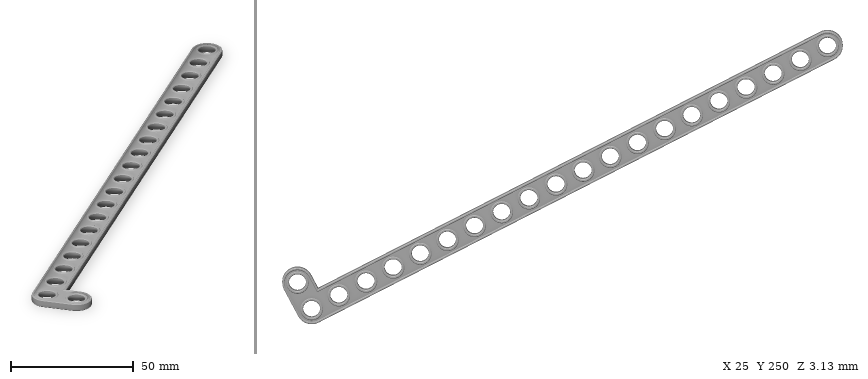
import cadquery as cq

hole_pitch = 12.5
long_arm_holes = 20
short_arm_holes = 2
hole_diameter = 7.0
collar_diameter = 9.2
rim_width = 1.0
edge_chamfer = 0.3
recess_depth = 0.3
recess_wall_slope = 45

strip_width = hole_pitch
thickness = hole_pitch / 4
recess_width = strip_width - 2 * rim_width
long_arm_span = hole_pitch * (long_arm_holes - 1)
short_arm_span = hole_pitch * (short_arm_holes - 1)
long_arm_centers = [(0, i * hole_pitch) for i in range(long_arm_holes)]
short_arm_centers = [(i * hole_pitch, 0) for i in range(1, short_arm_holes)]
hole_centers = long_arm_centers + short_arm_centers


def make_l_plate(width, height, taper=0):
    """L-shaped plate whose two round-ended arms share the corner hole."""
    long_arm = (
        cq.Workplane("XY")
        .center(0, long_arm_span / 2)
        .slot2D(long_arm_span + width, width, 90)
        .extrude(height, taper=taper)
    )
    short_arm = (
        cq.Workplane("XY")
        .center(short_arm_span / 2, 0)
        .slot2D(short_arm_span + width, width)
        .extrude(height, taper=taper)
    )
    return long_arm.union(short_arm).clean()


def make_discs(diameter, height, taper=0):
    """One disc on every hole centre."""
    points = cq.Workplane("XY").pushPoints(hole_centers)
    return points.circle(diameter / 2).extrude(height, taper=taper)


def make_recess():
    """Recess that widens upward and leaves a rim and a collar around every hole."""
    area = make_l_plate(recess_width, recess_depth, -recess_wall_slope)
    collars = make_discs(collar_diameter, recess_depth, recess_wall_slope)
    return area.cut(collars)


plate = make_l_plate(strip_width, thickness)
plate = plate.cut(make_discs(hole_diameter, thickness))
plate = plate.faces("<Z or >Z").edges().chamfer(edge_chamfer)

upper_recess = make_recess().translate((0, 0, thickness - recess_depth))
lower_recess = upper_recess.mirror("XY", (0, 0, thickness / 2))
result = plate.cut(upper_recess).cut(lower_recess)